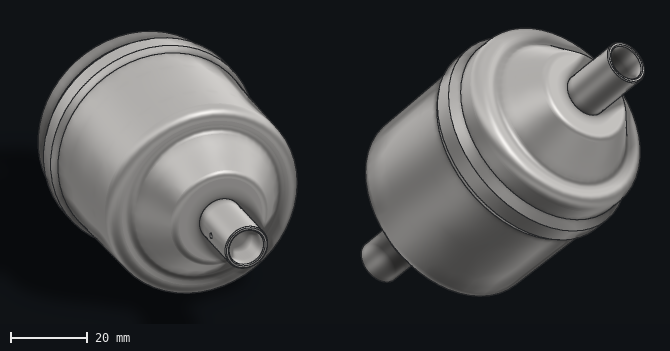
import cadquery as cq
import math

overall_length = 109.0

tube_diameter = 12.0
tube_length = 17.9
tube_bore_diameter = 9.7
tube_rim_chamfer = 0.3

passage_diameter = 7.3

pin_hole_diameter = 1.5
pin_hole_from_tip = 10.0

cone_length = 10.5
cone_small_radius = 12.9
cone_large_radius = 20.95
cone_fillet = 2.5

collar_radius = 54.0 / 2
bead_radius = 57.4 / 2
barrel_start_radius = 27.45
barrel_taper_degrees = 1.0
shoulder_fillet = 3.5
collar_length = 7.8
bead_rise_length = 3.0
bead_length = 4.9
bead_fall_length = 2.0

tip_x = overall_length / 2
end_face_x = tip_x - tube_length
shoulder_x = end_face_x - cone_length
bead_rise_x = -shoulder_x + collar_length
bead_start_x = bead_rise_x + bead_rise_length
bead_end_x = bead_start_x + bead_length
barrel_start_x = bead_end_x + bead_fall_length
barrel_length = shoulder_x - barrel_start_x
barrel_end_radius = barrel_start_radius - barrel_length * math.tan(math.radians(barrel_taper_degrees))

selection_margin = 0.05


def rim_edge(solid, x, radius):
    """Largest circular edge at position x that does not exceed the given radius."""
    reach = radius + selection_margin
    low_corner = (x - selection_margin, -reach, -reach)
    high_corner = (x + selection_margin, reach, reach)
    nearby = cq.selectors.BoxSelector(low_corner, high_corner, boundingbox=True)
    return solid.edges(nearby).edges(cq.selectors.RadiusNthSelector(-1))


def make_body():
    """Revolved shell with rounded shoulders and cone edges."""
    body = (
        cq.Workplane("XY")
        .moveTo(-end_face_x, 0)
        .lineTo(-end_face_x, cone_small_radius)
        .lineTo(-shoulder_x, cone_large_radius)
        .lineTo(-shoulder_x, collar_radius)
        .lineTo(bead_rise_x, collar_radius)
        .lineTo(bead_start_x, bead_radius)
        .lineTo(bead_end_x, bead_radius)
        .lineTo(barrel_start_x, barrel_start_radius)
        .lineTo(shoulder_x, barrel_end_radius)
        .lineTo(shoulder_x, cone_large_radius)
        .lineTo(end_face_x, cone_small_radius)
        .lineTo(end_face_x, 0)
        .close()
        .revolve(360, (0, 0, 0), (1, 0, 0))
    )
    rounded_edges = [
        (-shoulder_x, collar_radius, shoulder_fillet),
        (shoulder_x, barrel_end_radius, shoulder_fillet),
    ]
    for side in (-1, 1):
        rounded_edges.append((side * shoulder_x, cone_large_radius, cone_fillet))
        rounded_edges.append((side * end_face_x, cone_small_radius, cone_fillet))
    for x, radius, fillet in rounded_edges:
        body = rim_edge(body, x, radius).fillet(fillet)
    return body


def x_cylinder(start_x, end_x, diameter):
    """Cylinder on the X axis between two stations."""
    return cq.Workplane("YZ", origin=(start_x, 0, 0)).circle(diameter / 2).extrude(end_x - start_x)


def pin_hole(x):
    """Radial hole running from the axis out through the -Y tube wall."""
    return cq.Workplane("XZ", origin=(x, 0, 0)).circle(pin_hole_diameter / 2).extrude(tube_diameter)


def tube_bore(side):
    """Bore of one tube, opening outward at the tip to form the inner rim chamfer."""
    bore_radius = tube_bore_diameter / 2
    bore = x_cylinder(side * end_face_x, side * tip_x, tube_bore_diameter)
    flare = (
        cq.Workplane("XY")
        .moveTo(side * (tip_x - tube_rim_chamfer), 0)
        .lineTo(side * (tip_x - tube_rim_chamfer), bore_radius)
        .lineTo(side * tip_x, bore_radius + tube_rim_chamfer)
        .lineTo(side * tip_x, 0)
        .close()
        .revolve(360, (0, 0, 0), (1, 0, 0))
    )
    return bore.union(flare)


tube_bar = x_cylinder(-tip_x, tip_x, tube_diameter).faces("<X or >X").edges().chamfer(tube_rim_chamfer)

result = make_body().union(tube_bar)
result = result.cut(x_cylinder(-tip_x, tip_x, passage_diameter))
for side in (-1, 1):
    result = result.cut(tube_bore(side))
    result = result.cut(pin_hole(side * (tip_x - pin_hole_from_tip)))